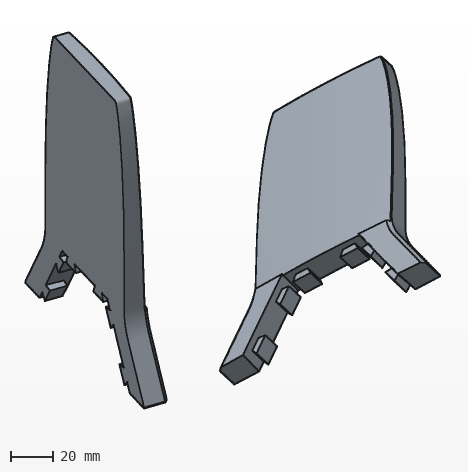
import cadquery as cq
import math

HEIGHT = 156.4
FOOT_HALF_WIDTH = 60.7
MAX_DEPTH = 13.5

PANEL_HALF_WIDTH = 40.2
PANEL_BOTTOM = 39.9
PANEL_CURVE_START = 76.5
PANEL_CURVE_X_RADIUS = 12.5
PANEL_CURVE_Z_RADIUS = 84.5
TOP_CORNER_RADIUS = 2.0

PANEL_DEPTH_BOTTOM = 13.0
PANEL_DEPTH_TOP = 9.2
CROWN_RADIUS = 484.7
PANEL_EDGE_CHAMFER = 0.5

LEG_ANGLE = 30.0
LEG_BACK_SLOPE = 2.0
LEG_INNER_DRAFT = 2.0
INNER_CORNER_X = 23.0
SHOULDER_RADIUS = 30.3
FOOT_FLAT_HEIGHT = 0.6
LEG_EDGE_CHAMFER = 1.9

TONGUE_ROOT_WIDTH = 7.0
TONGUE_TIP_WIDTH = 10.3
TONGUE_HEIGHT = 4.0
TONGUE_DEPTH = 9.4
TONGUE_INSET = 9.0
TONGUE_OVERLAP = 0.8

BLOCK = 469.1
BLANK_DEPTH = 2 * MAX_DEPTH
BLANK_DROP = 15.6
SECTION_WIDTH = 93.8

splay = math.radians(LEG_ANGLE)
leg_length = PANEL_BOTTOM / math.cos(splay)


def half_blank():
    """Oversize +X half: finished outer edge, solid across the middle and below the feet."""
    leg_run = math.tan(splay)
    shoulder_z = FOOT_FLAT_HEIGHT + (FOOT_HALF_WIDTH - PANEL_HALF_WIDTH) / leg_run
    tangent = SHOULDER_RADIUS * math.tan(splay / 2)
    arc_end = (PANEL_HALF_WIDTH + tangent * math.sin(splay), shoulder_z - tangent * math.cos(splay))
    arc_start = (PANEL_HALF_WIDTH, shoulder_z + tangent)
    low_x = PANEL_HALF_WIDTH + (shoulder_z + BLANK_DROP) * leg_run
    curve_end = math.degrees(math.asin((HEIGHT - PANEL_CURVE_START) / PANEL_CURVE_Z_RADIUS))
    outline = (
        cq.Workplane("XZ")
        .moveTo(0, -BLANK_DROP)
        .lineTo(low_x, -BLANK_DROP)
        .lineTo(*arc_end)
        .radiusArc(arc_start, SHOULDER_RADIUS)
        .lineTo(PANEL_HALF_WIDTH, PANEL_CURVE_START)
        .ellipseArc(PANEL_CURVE_X_RADIUS, PANEL_CURVE_Z_RADIUS, 0, curve_end, startAtCurrent=True)
        .lineTo(0, HEIGHT)
        .close()
    )
    blank = outline.extrude(-BLANK_DEPTH)
    return blank.edges("|Y and >Z").edges(">X").fillet(TOP_CORNER_RADIUS)


def panel(blank):
    """Main panel with its crowned back leaning towards the front at the top."""
    lean = math.degrees(math.atan2(PANEL_DEPTH_BOTTOM - PANEL_DEPTH_TOP, HEIGHT - PANEL_BOTTOM))
    crown = (
        cq.Workplane("XY")
        .circle(CROWN_RADIUS)
        .extrude(BLOCK, both=True)
        .translate((0, -CROWN_RADIUS, 0))
        .rotate((0, 0, 0), (1, 0, 0), lean)
        .translate((0, PANEL_DEPTH_BOTTOM, PANEL_BOTTOM))
    )
    above = cq.Workplane("XY").box(BLOCK, BLOCK, BLOCK).translate((0, 0, PANEL_BOTTOM + BLOCK / 2))
    full = blank.union(blank.mirror("YZ")).clean()
    body = full.intersect(above).intersect(crown)
    rim = body.faces(">Y").edges("not <Z")
    return rim.chamfer(PANEL_EDGE_CHAMFER)


def leg(blank):
    """+X leg: drafted inner face, sloping back, bevelled along the outer back edge."""
    draft = MAX_DEPTH * math.tan(math.radians(LEG_INNER_DRAFT))
    drop = SECTION_WIDTH * math.tan(math.radians(LEG_BACK_SLOPE))
    section = (
        cq.Workplane("XY")
        .polyline([(0, 0), (SECTION_WIDTH, 0), (SECTION_WIDTH, MAX_DEPTH - drop), (-draft, MAX_DEPTH)])
        .close()
        .extrude(BLOCK / 2, both=True)
        .rotate((0, 0, 0), (0, 1, 0), -LEG_ANGLE)
        .translate((INNER_CORNER_X, 0, PANEL_BOTTOM))
    )
    body = blank.intersect(section)
    outer_back_edges = body.faces(">Y").edges(cq.selectors.BoxSelector(
        (PANEL_HALF_WIDTH - LEG_EDGE_CHAMFER, 0, -BLANK_DROP / 2),
        (BLOCK, BLANK_DEPTH, PANEL_CURVE_START),
    ))
    envelope = cq.Workplane("XY").box(
        FOOT_HALF_WIDTH, MAX_DEPTH, PANEL_BOTTOM, centered=False
    )
    return outer_back_edges.chamfer(LEG_EDGE_CHAMFER).intersect(envelope)


def tongue():
    """Dovetail tongue pointing along -Z with its root centred on the origin."""
    half_root = TONGUE_ROOT_WIDTH / 2
    half_tip = TONGUE_TIP_WIDTH / 2
    return (
        cq.Workplane("XZ")
        .polyline([
            (-half_root, TONGUE_OVERLAP),
            (-half_root, 0),
            (-half_tip, -TONGUE_HEIGHT),
            (half_tip, -TONGUE_HEIGHT),
            (half_root, 0),
            (half_root, TONGUE_OVERLAP),
        ])
        .close()
        .extrude(-TONGUE_DEPTH)
    )


def half_tongues():
    """The three tongues on the +X half: one under the panel and two on the leg."""
    tongues = tongue().translate((INNER_CORNER_X - TONGUE_INSET, 0, PANEL_BOTTOM))
    for along in (TONGUE_INSET, leg_length - TONGUE_INSET):
        place = (
            INNER_CORNER_X + along * math.sin(splay),
            0,
            PANEL_BOTTOM - along * math.cos(splay),
        )
        turned = tongue().rotate((0, 0, 0), (0, 1, 0), 90 - LEG_ANGLE)
        tongues = tongues.union(turned.translate(place))
    return tongues


blank = half_blank()
half_details = leg(blank).union(half_tongues())
result = panel(blank).union(half_details).union(half_details.mirror("YZ"))